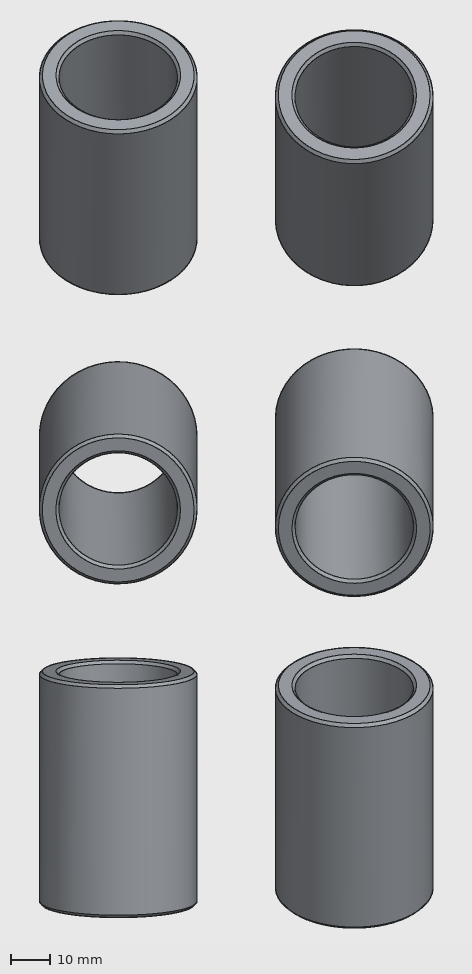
import cadquery as cq

length = 60.0
outer_diameter = 40.0
bore_diameter = 30.0
chamfer = 0.8


tube = (
    cq.Workplane("XY")
    .circle(outer_diameter / 2)
    .circle(bore_diameter / 2)
    .extrude(length)
)

result = tube.faces("<Z or >Z").edges().chamfer(chamfer)